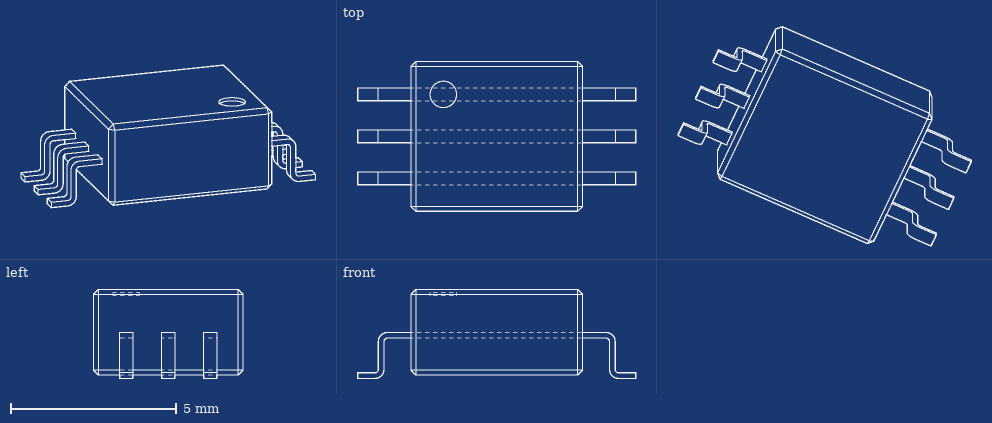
import cadquery as cq

HOUSING_LENGTH = 5.2
HOUSING_WIDTH = 4.54
HOUSING_HEIGHT = 2.6
HOUSING_CHAMFER = 0.15
STANDOFF = 0.1

LEAD_SPAN = 8.42
LEAD_COUNT = 3
LEAD_PITCH = 1.27
LEAD_WIDTH = 0.395
LEAD_THICKNESS = 0.18
LEAD_TOP = 1.4
SHANK_OFFSET = 0.62
INNER_BEND_RADIUS = 0.1
OUTER_BEND_RADIUS = INNER_BEND_RADIUS + LEAD_THICKNESS

MARKER_DIAMETER = 0.8
MARKER_X = -1.62
MARKER_Y = LEAD_PITCH
MARKER_DEPTH = 0.1
MARKER_THICKNESS = 0.08

HOUSING_TOP = STANDOFF + HOUSING_HEIGHT
MARKER_FLOOR = HOUSING_TOP - MARKER_DEPTH - MARKER_THICKNESS


def round_bend(lead, x, z, radius):
    """Round the edges along Y at (x, z) and at its mirror image (-x, z)."""
    for side in (-1, 1):
        corner = cq.selectors.NearestToPointSelector((side * x, lead.val().Center().y, z))
        lead = lead.edges("|Y").edges(corner).fillet(radius)
    return lead


def make_lead(y):
    """One strip with a gull-wing bend at both ends, centred at the given Y."""
    tip = LEAD_SPAN / 2
    shank_outer = tip - SHANK_OFFSET
    shank_inner = shank_outer - LEAD_THICKNESS
    bar_bottom = LEAD_TOP - LEAD_THICKNESS

    right_half = [
        (shank_outer, LEAD_TOP),
        (shank_outer, LEAD_THICKNESS),
        (tip, LEAD_THICKNESS),
        (tip, 0),
        (shank_inner, 0),
        (shank_inner, bar_bottom),
    ]
    left_half = [(-x, z) for x, z in reversed(right_half)]
    profile = cq.Workplane("XZ", origin=(0, y, 0)).polyline(right_half + left_half).close()
    lead = profile.extrude(LEAD_WIDTH / 2, both=True)

    lead = round_bend(lead, shank_outer, LEAD_TOP, OUTER_BEND_RADIUS)
    lead = round_bend(lead, shank_inner, bar_bottom, INNER_BEND_RADIUS)
    lead = round_bend(lead, shank_outer, LEAD_THICKNESS, INNER_BEND_RADIUS)
    return round_bend(lead, shank_inner, 0, OUTER_BEND_RADIUS)


def marker_cylinder(height):
    """A round of the marker's diameter standing on the recess floor."""
    floor = cq.Workplane("XY", origin=(MARKER_X, MARKER_Y, MARKER_FLOOR))
    return floor.circle(MARKER_DIAMETER / 2).extrude(height)


def make_housing(leads):
    """Chamfered block with a passage for each lead and the marker recess."""
    block = cq.Workplane("XY", origin=(0, 0, STANDOFF)).box(
        HOUSING_LENGTH, HOUSING_WIDTH, HOUSING_HEIGHT, centered=(True, True, False)
    )
    block = block.edges().chamfer(HOUSING_CHAMFER)
    for lead in leads:
        block = block.cut(lead)
    return block.cut(marker_cylinder(HOUSING_TOP - MARKER_FLOOR))


leads = []
for index in range(LEAD_COUNT):
    leads.append(make_lead((index - (LEAD_COUNT - 1) / 2) * LEAD_PITCH))

housing = make_housing(leads)
marker = marker_cylinder(MARKER_THICKNESS)

result = cq.Compound.makeCompound(
    [housing.solids().val(), marker.val(), *[lead.solids().val() for lead in leads]]
)